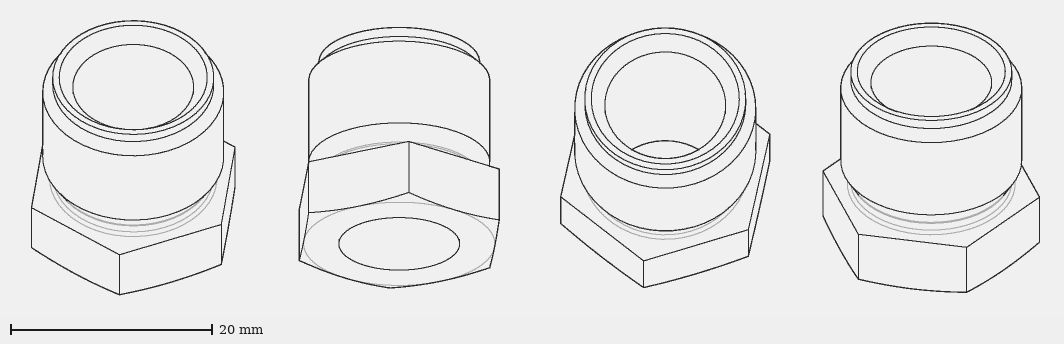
import cadquery as cq
import math

total_height = 20.0
hex_corner_diameter = 21.95
hex_height = 6.01

thread_diameter = 18.0
neck_diameter = 16.0
tip_height = 1.0
thread_bottom = 9.0
runout_angle = 30.0
neck_fillet = 0.33

bore_diameter = 12.0
mouth_diameter = 14.7
mouth_depth = (mouth_diameter - bore_diameter) / 2

hex_chamfer_angle = 15.0

neck_radius = neck_diameter / 2
thread_radius = thread_diameter / 2
thread_step = thread_radius - neck_radius
hex_corner_radius = hex_corner_diameter / 2
hex_flat_radius = hex_corner_radius * math.cos(math.radians(30))


def make_hexagon():
    """Hexagon with corners on the Y axis and its lower corners chamfered."""
    prism = (
        cq.Workplane("XY")
        .polygon(6, hex_corner_diameter)
        .extrude(hex_height)
        .rotate((0, 0, 0), (0, 0, 1), 90)
    )
    chamfer_run = hex_corner_radius - hex_flat_radius
    chamfer_rise = chamfer_run * math.tan(math.radians(hex_chamfer_angle))
    envelope = (
        cq.Workplane("XZ")
        .moveTo(0, 0)
        .lineTo(hex_flat_radius, 0)
        .lineTo(hex_corner_radius, chamfer_rise)
        .lineTo(hex_corner_radius, hex_height)
        .lineTo(0, hex_height)
        .close()
        .revolve(360, (0, 0, 0), (0, 1, 0))
    )
    return prism.intersect(envelope)


def make_shank():
    """Revolved shank: filleted neck, thread run-out, thread body and tip."""
    flare = math.radians(runout_angle)
    runout_height = thread_step / math.tan(flare)
    upper_fillet_x = neck_radius + neck_fillet
    upper_fillet_z = thread_bottom - runout_height - neck_fillet * math.tan(flare / 2)

    def upper_fillet_point(angle):
        return (
            upper_fillet_x - neck_fillet * math.cos(angle),
            upper_fillet_z + neck_fillet * math.sin(angle),
        )

    tip_bottom = total_height - tip_height
    fillet_mid_offset = neck_fillet * (1 - math.sqrt(0.5))
    return (
        cq.Workplane("XZ")
        .moveTo(0, hex_height)
        .lineTo(neck_radius + neck_fillet, hex_height)
        .threePointArc(
            (neck_radius + fillet_mid_offset, hex_height + fillet_mid_offset),
            (neck_radius, hex_height + neck_fillet),
        )
        .lineTo(neck_radius, upper_fillet_z)
        .threePointArc(upper_fillet_point(flare / 2), upper_fillet_point(flare))
        .lineTo(thread_radius, thread_bottom)
        .lineTo(thread_radius, tip_bottom - thread_step)
        .lineTo(neck_radius, tip_bottom)
        .lineTo(neck_radius, total_height)
        .lineTo(0, total_height)
        .close()
        .revolve(360, (0, 0, 0), (0, 1, 0))
    )


def make_bore():
    """Through bore widening to a conical mouth at the top."""
    bore_radius = bore_diameter / 2
    return (
        cq.Workplane("XZ")
        .moveTo(0, 0)
        .lineTo(bore_radius, 0)
        .lineTo(bore_radius, total_height - mouth_depth)
        .lineTo(mouth_diameter / 2, total_height)
        .lineTo(0, total_height)
        .close()
        .revolve(360, (0, 0, 0), (0, 1, 0))
    )


result = make_hexagon().union(make_shank()).cut(make_bore())